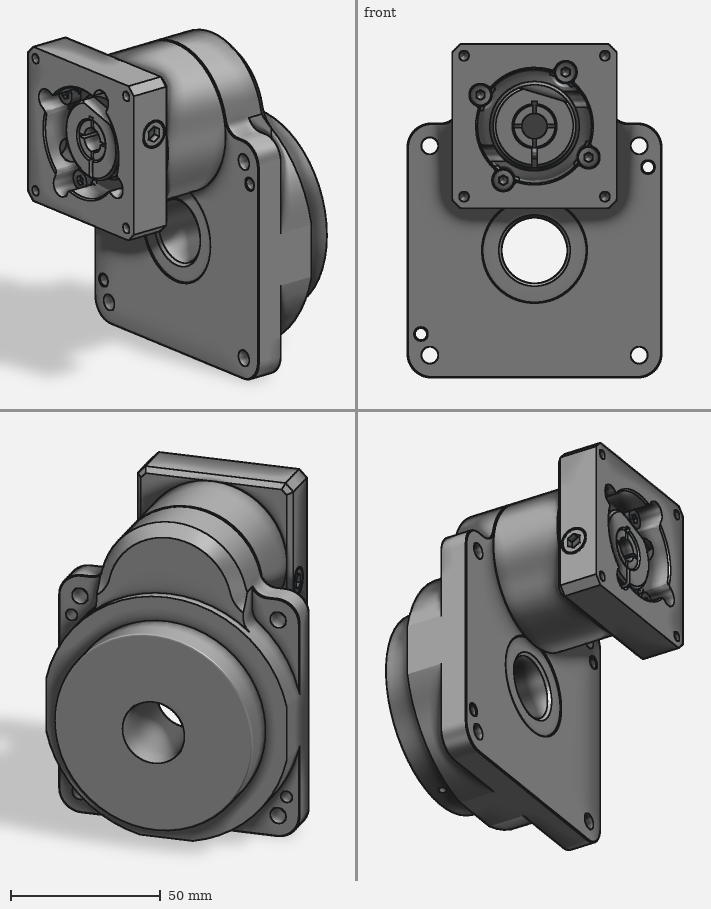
import cadquery as cq
import math


overall_height = 111.6
plate_side = 85.0
plate_thickness = 10.2
plate_corner_radius = 8.0
plate_edge_chamfer = 0.3
half_plate = plate_side / 2

flange_side = 55.0
half_flange = flange_side / 2
input_axis_z = overall_height - half_plate - half_flange

gear_radius = 26.0
boss_blend_radius = 6.0
boss_depth = 19.6
boss_chamfer = 4.1
boss_half_width = 25.9

round_body_radius = 43.5
round_body_depth = 23.2
turntable_diameter = 70.0
turntable_radius = turntable_diameter / 2
turntable_depth = 36.7
turntable_fillet = 0.7
turntable_hole_diameter = 2.7
turntable_hole_depth = 4.5
turntable_hole_y = 31.4
turntable_hole_angle = 12.0

output_bore_radius = 10.9
output_bore_chamfer = 1.0
bearing_ring_radius = 17.6
bearing_ring_recess = 0.3

mount_hole_diameter = 5.6
mount_hole_spacing = 70.0
pin_hole_diameter = 4.0
pin_hole_chamfer = 0.3
pin_hole_x = 37.9
pin_hole_z = 27.9

front_y = -41.7
flange_depth = 15.8
flange_corner_chamfer = 2.8
flange_back_chamfer = 1.8
gear_end_chamfer = 0.5

motor_hole_diameter = 3.3
motor_hole_spacing = 47.1
motor_hole_depth = 8.9
drill_tip_angle = 118.0

pocket_radius = 19.1
pocket_depth = 11.2
pocket_mouth_chamfer = 0.6
pocket_floor_fillet = 1.1
pocket_corner_fillet = 2.0

screw_circle_radius = 20.9
screw_angles = [60, 150, 240, 330]
screw_recess_radius = 3.8
screw_recess_depth = 12.8
screw_recess_lip = 1.6
screw_head_radius = 3.5
screw_head_face = 8.4
screw_socket_diameter = 3.3
screw_socket_depth = 1.3

collar_radius = 13.8
collar_face = 4.5
collar_edge_chamfer = 0.9
collar_base_width = 1.1
collar_flat_distance = 10.8
collar_flat_angle = 73.4
collar_slit_width = 1.7
collar_slit_floor = 12.3
collar_slit_top_reach = 8.4

sleeve_radius = 6.9
sleeve_recess = 0.6
sleeve_slit_width = 1.1
motor_bore_radius = 4.2
motor_bore_floor = 22.3

clamp_axis_offset = 9.0
clamp_axis_depth = 8.8
clamp_screw_diameter = 3.7
clamp_channel_radius = 3.6
plug_rim_radius = 4.8
plug_rim_depth = 0.5
plug_rim_width = 0.5
plug_socket_diameter = 5.5
plug_socket_depth = 2.8
clamp_channel_end = 22.3


def face_plane(y, z=0.0):
    """Plane across the shafts at height z; local x and y are +X and +Z, and +extrude runs to -Y."""
    return cq.Workplane("XZ", origin=(0, y, z))


def disc(radius, y_start, y_end, z=0.0):
    return face_plane(y_end, z).circle(radius).extrude(y_end - y_start)


def cone(radius_start, radius_end, y_start, y_end, x=0.0, z=0.0):
    solid = cq.Solid.makeCone(
        radius_start, radius_end, y_end - y_start, pnt=cq.Vector(x, y_start, z), dir=cq.Vector(0, 1, 0)
    )
    return cq.Workplane(solid)


def depth_y(depth):
    """Y of a point at the given depth behind the motor face."""
    return front_y + depth


def plate_outline(depth):
    """Square plate with rounded corners whose top edge blends into the round gear boss."""
    blend_z = half_plate + boss_blend_radius
    centre_distance = gear_radius + boss_blend_radius
    blend_x = math.sqrt(centre_distance**2 - (blend_z - input_axis_z) ** 2)
    boss_share = gear_radius / centre_distance
    tangent_x = blend_x * boss_share
    tangent_z = input_axis_z + (blend_z - input_axis_z) * boss_share
    straight = half_plate - plate_corner_radius
    return (
        face_plane(depth)
        .moveTo(-tangent_x, tangent_z)
        .threePointArc((0, input_axis_z + gear_radius), (tangent_x, tangent_z))
        .tangentArcPoint((blend_x, half_plate), relative=False)
        .lineTo(straight, half_plate)
        .tangentArcPoint((half_plate, straight), relative=False)
        .lineTo(half_plate, -straight)
        .tangentArcPoint((straight, -half_plate), relative=False)
        .lineTo(-straight, -half_plate)
        .tangentArcPoint((-half_plate, -straight), relative=False)
        .lineTo(-half_plate, straight)
        .tangentArcPoint((-straight, half_plate), relative=False)
        .lineTo(-blend_x, half_plate)
        .tangentArcPoint((-tangent_x, tangent_z), relative=False)
        .close()
        .extrude(depth)
    )


def make_plate():
    return plate_outline(plate_thickness).faces("<Y or >Y").edges().chamfer(plate_edge_chamfer)


def make_boss():
    """The upper middle of the plate outline, carried further back with a chamfered rim."""
    boss = plate_outline(boss_depth).faces(">Y").edges().chamfer(boss_chamfer)
    keep = (
        face_plane(boss_depth, overall_height / 2)
        .rect(2 * boss_half_width, overall_height)
        .extrude(boss_depth - plate_thickness / 2)
    )
    return boss.intersect(keep)


def make_boss_flanks():
    """Concave blends from the flat sides of the boss out to the round body."""
    centre_distance = round_body_radius + boss_blend_radius
    blend_x = boss_half_width + boss_blend_radius
    blend_z = math.sqrt(centre_distance**2 - blend_x**2)
    body_share = round_body_radius / centre_distance
    foot_x = blend_x * body_share
    foot_z = blend_z * body_share
    slope = math.atan2(foot_z - blend_z, foot_x - blend_x)
    middle_angle = (slope - math.pi) / 2
    middle_x = blend_x + boss_blend_radius * math.cos(middle_angle)
    middle_z = blend_z + boss_blend_radius * math.sin(middle_angle)
    return (
        face_plane(boss_depth)
        .moveTo(-foot_x, foot_z)
        .threePointArc((-middle_x, middle_z), (-boss_half_width, blend_z))
        .lineTo(boss_half_width, blend_z)
        .threePointArc((middle_x, middle_z), (foot_x, foot_z))
        .close()
        .extrude(boss_depth - plate_thickness / 2)
    )


def make_round_body():
    """Round body behind the plate, trimmed flush with the plate's sides and bottom."""
    trim = (
        face_plane(round_body_depth, overall_height / 2 - half_plate)
        .rect(plate_side, overall_height)
        .extrude(round_body_depth)
    )
    return disc(round_body_radius, plate_thickness / 2, round_body_depth).intersect(trim)


def make_turntable_hole():
    """Small radial hole in the turntable rim, a little to the -X side of its lowest point."""
    hole = (
        cq.Workplane("XY", origin=(0, turntable_hole_y, -turntable_radius))
        .circle(turntable_hole_diameter / 2)
        .extrude(turntable_hole_depth)
    )
    return hole.rotate((0, 0, 0), (0, 1, 0), turntable_hole_angle)


def make_platform():
    turntable = disc(turntable_radius, plate_thickness, turntable_depth)
    turntable = turntable.faces(">Y").edges().fillet(turntable_fillet).cut(make_turntable_hole())
    platform = make_plate().union(make_round_body()).union(make_boss()).union(make_boss_flanks())
    platform = platform.union(turntable)

    ring_floor_radius = bearing_ring_radius - bearing_ring_recess
    bearing_ring = cone(bearing_ring_radius, ring_floor_radius, 0, bearing_ring_recess)
    output_bore = disc(output_bore_radius, 0, turntable_depth)
    bore_mouth = cone(
        output_bore_radius + output_bore_chamfer,
        output_bore_radius,
        bearing_ring_recess,
        bearing_ring_recess + output_bore_chamfer,
    )
    platform = platform.cut(bearing_ring).cut(output_bore).cut(bore_mouth)

    mount_holes = (
        face_plane(plate_thickness)
        .rect(mount_hole_spacing, mount_hole_spacing, forConstruction=True)
        .vertices()
        .circle(mount_hole_diameter / 2)
        .extrude(plate_thickness)
    )
    platform = platform.cut(mount_holes)

    pin_radius = pin_hole_diameter / 2
    for side in (1, -1):
        x = side * pin_hole_x
        z = side * pin_hole_z
        pin_hole = face_plane(plate_thickness).center(x, z).circle(pin_radius).extrude(plate_thickness)
        platform = platform.cut(pin_hole)
        platform = platform.cut(cone(pin_radius + pin_hole_chamfer, pin_radius, 0, pin_hole_chamfer, x, z))
    return platform


def pocket_disc(radius, depth_start, depth_end, x=0.0, z=0.0):
    """Cylinder parallel to the input axis, offset from it by x and z."""
    return (
        face_plane(depth_y(depth_end), input_axis_z)
        .center(x, z)
        .circle(radius)
        .extrude(depth_end - depth_start)
    )


def pocket_cone(radius_start, radius_end, depth_start, depth_end, x=0.0, z=0.0):
    return cone(radius_start, radius_end, depth_y(depth_start), depth_y(depth_end), x, input_axis_z + z)


def drilled_hole(radius, depth, x, z):
    tip = radius / math.tan(math.radians(drill_tip_angle / 2))
    return pocket_disc(radius, 0, depth, x, z).union(pocket_cone(radius, 0, depth, depth + tip, x, z))


def make_flange_and_cylinder():
    flange = (
        face_plane(depth_y(flange_depth), input_axis_z)
        .rect(flange_side, flange_side)
        .extrude(flange_depth)
        .edges("|Y")
        .chamfer(flange_corner_chamfer)
        .faces(">Y")
        .edges()
        .chamfer(flange_back_chamfer)
    )
    cylinder = disc(gear_radius, depth_y(flange_depth), 0, input_axis_z)
    cylinder = cylinder.faces("<Y or >Y").edges().chamfer(gear_end_chamfer)
    return flange.union(cylinder)


def screw_place(angle):
    """Offsets of a screw from the input axis along X and Z."""
    turn = math.radians(angle)
    return screw_circle_radius * math.cos(turn), screw_circle_radius * math.sin(turn)


def pocket_corner_points():
    """Points at mid-depth where the screw recesses break into the wall of the round pocket."""
    half_opening = math.acos(
        (pocket_radius**2 + screw_circle_radius**2 - screw_recess_radius**2)
        / (2 * pocket_radius * screw_circle_radius)
    )
    points = []
    for angle in screw_angles:
        for side in (-1, 1):
            turn = math.radians(angle) + side * half_opening
            x = pocket_radius * math.cos(turn)
            z = input_axis_z + pocket_radius * math.sin(turn)
            points.append((x, depth_y(pocket_depth / 2), z))
    return points


def cut_motor_pocket(body):
    """Round pocket with four screw recesses in its wall, bevelled at the mouth."""
    pocket = pocket_disc(pocket_radius, 0, pocket_depth).faces(">Y").edges().fillet(pocket_floor_fillet)
    walls = pocket_disc(pocket_radius, 0, pocket_depth - pocket_floor_fillet)
    for angle in screw_angles:
        x, z = screw_place(angle)
        walls = walls.union(pocket_disc(screw_recess_radius, 0, pocket_depth - pocket_floor_fillet, x, z))
    for point in pocket_corner_points():
        walls = walls.edges(cq.NearestToPointSelector(point)).fillet(pocket_corner_fillet)
    mouth = pocket_cone(pocket_radius + pocket_mouth_chamfer, pocket_radius, 0, pocket_mouth_chamfer)
    return body.cut(walls).cut(pocket).cut(mouth)


def make_recess_lip(x, z):
    """Cutter that rounds the edge between the pocket floor and a screw recess."""
    lip_radius = screw_recess_radius + screw_recess_lip
    lip_depth = pocket_depth + screw_recess_lip
    centre = cq.Vector(x, depth_y(lip_depth), input_axis_z + z)
    rounding = cq.Solid.makeTorus(lip_radius, screw_recess_lip, centre, cq.Vector(0, 1, 0))
    lip = pocket_disc(lip_radius, pocket_depth, lip_depth, x, z).cut(cq.Workplane(rounding))
    return lip.intersect(pocket_disc(pocket_radius, 0, lip_depth))


def add_screw(body, angle):
    """Cap screw standing in its own recess beside the motor pocket."""
    x, z = screw_place(angle)
    recess = pocket_disc(screw_recess_radius, 0, screw_recess_depth, x, z)
    head = pocket_disc(screw_head_radius, screw_head_face, screw_recess_depth, x, z)
    socket_floor = screw_head_face + screw_socket_depth
    socket = (
        face_plane(depth_y(socket_floor), input_axis_z)
        .center(x, z)
        .transformed(rotate=(0, 0, 90))
        .polygon(6, screw_socket_diameter)
        .extrude(screw_socket_depth)
    )
    tip_radius = screw_socket_diameter / 2 * math.cos(math.pi / 6)
    tip_depth = tip_radius / math.tan(math.radians(drill_tip_angle / 2))
    tip = pocket_cone(tip_radius, 0, socket_floor, socket_floor + tip_depth, x, z)
    return body.cut(recess).cut(make_recess_lip(x, z)).union(head).cut(socket).cut(tip)


def slit(width, z_start, z_end, depth_start, depth_end):
    """Slot across the clamp, centred on x = 0, between two heights from the input axis."""
    return (
        face_plane(depth_y(depth_end), input_axis_z)
        .center(0, (z_start + z_end) / 2)
        .rect(width, z_end - z_start)
        .extrude(depth_end - depth_start)
    )


def make_collar():
    """Clamp collar standing on the pocket floor, with a balancing flat on its side."""
    collar = pocket_disc(collar_radius, collar_face, pocket_depth)
    collar = collar.faces("<Y").edges().chamfer(collar_edge_chamfer)
    beyond_flat = (
        face_plane(depth_y(pocket_depth), input_axis_z)
        .transformed(rotate=(0, 0, collar_flat_angle))
        .center(collar_flat_distance + collar_radius / 2, 0)
        .rect(collar_radius, 2 * collar_radius)
        .extrude(pocket_depth - collar_face)
    )
    base_radius = collar_radius + collar_base_width
    base = pocket_cone(collar_radius, base_radius, pocket_depth - collar_base_width, pocket_depth)
    return collar.cut(beyond_flat).union(base)


def cut_clamp(body):
    """Motor shaft bore, split sleeve and the clamp slits in the collar."""
    sleeve_face = collar_face + sleeve_recess
    body = body.cut(pocket_cone(sleeve_radius + sleeve_recess, sleeve_radius, collar_face, sleeve_face))
    body = body.cut(pocket_disc(motor_bore_radius, collar_face, motor_bore_floor))
    sleeve_slit = slit(sleeve_slit_width, -sleeve_radius, sleeve_radius, collar_face, collar_slit_floor)
    axis_start = (0, 0, input_axis_z)
    axis_end = (0, 1, input_axis_z)
    body = body.cut(sleeve_slit).cut(sleeve_slit.rotate(axis_start, axis_end, 90))
    lower_slit = slit(collar_slit_width, -collar_radius, -sleeve_radius, collar_face, collar_slit_floor)
    upper_slit = slit(
        collar_slit_width, sleeve_radius, collar_slit_top_reach, collar_face, collar_slit_floor
    )
    return body.cut(lower_slit).cut(upper_slit)


def clamp_line(side, x):
    """Plane at x on a clamp screw line; side -1 is below the input axis and +1 is above it."""
    z = input_axis_z + side * clamp_axis_offset
    return cq.Workplane("YZ", origin=(x, depth_y(clamp_axis_depth), z))


def cut_clamp_channel(body, side):
    """Tool passage across the pocket floor, from the collar base into the flange wall."""
    channel = clamp_line(side, 0).circle(clamp_channel_radius).extrude(side * clamp_channel_end)
    collar_core = pocket_disc(collar_radius + collar_base_width, 0, clamp_axis_depth + clamp_channel_radius)
    return body.cut(channel.cut(collar_core))


def cut_plug_face(body, side):
    """Sealing plug flush with the flange side: a shallow rim groove and a hexagon socket."""
    face_x = side * half_flange
    rim = clamp_line(side, face_x).circle(plug_rim_radius).extrude(-side * plug_rim_depth)
    rim_core = (
        clamp_line(side, face_x)
        .circle(plug_rim_radius - plug_rim_width)
        .extrude(-side * plug_rim_depth)
    )
    socket = (
        clamp_line(side, face_x)
        .transformed(rotate=(0, 0, 90))
        .polygon(6, plug_socket_diameter)
        .extrude(-side * plug_socket_depth)
    )
    return body.cut(rim.cut(rim_core)).cut(socket)


def make_gearbox():
    gearbox = cut_motor_pocket(make_flange_and_cylinder())
    for angle in screw_angles:
        gearbox = add_screw(gearbox, angle)
    for side in (-1, 1):
        gearbox = cut_clamp_channel(gearbox, side)
        gearbox = cut_plug_face(gearbox, side)
    gearbox = cut_clamp(gearbox.union(make_collar()))
    clamp_screw = (
        clamp_line(-1, -collar_slit_width)
        .circle(clamp_screw_diameter / 2)
        .extrude(2 * collar_slit_width)
    )
    gearbox = gearbox.union(clamp_screw)
    half_spacing = motor_hole_spacing / 2
    for x in (-half_spacing, half_spacing):
        for z in (-half_spacing, half_spacing):
            gearbox = gearbox.cut(drilled_hole(motor_hole_diameter / 2, motor_hole_depth, x, z))
    return gearbox


platform = make_platform()
gearbox = make_gearbox()

result = cq.Compound.makeCompound([platform.val(), gearbox.val()])